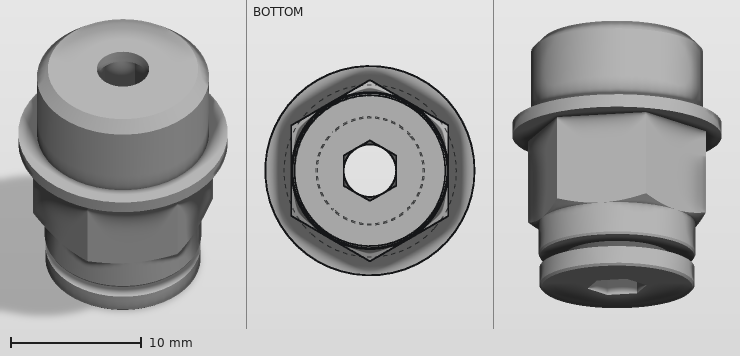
import cadquery as cq
import math

total_height = 19.5
ring_top = 1.5
collar_bottom = 2.48
hex_bottom = 5.0
flange_bottom = 12.0
flange_thickness = 1.0
flange_top = flange_bottom + flange_thickness

ring_diameter = 11.88
neck_diameter = 8.1
hex_across_flats = 12.0
collar_diameter = hex_across_flats
flange_diameter = 16.0
barrel_diameter = 13.16
bore_diameter = 4.0
socket_across_flats = bore_diameter

ring_chamfer = 0.18
collar_chamfer_height = 0.18
collar_chamfer_width = 0.1
neck_flare_height = 0.18
neck_flare_width = 0.1
barrel_chamfer = 0.84
hex_chamfer_angle = 30
bore_depth = 1.0


def cylinder(diameter, bottom, top):
    return cq.Workplane("XY").workplane(offset=bottom).circle(diameter / 2).extrude(top - bottom)


def hexagonal_prism(across_flats, bottom, top):
    """Hexagonal prism with flats facing +X and -X and corners on the Y axis."""
    across_corners = across_flats / math.cos(math.radians(30))
    prism = cq.Workplane("XY").polygon(6, across_corners).extrude(top - bottom)
    return prism.rotate((0, 0, 0), (0, 0, 1), 30).translate((0, 0, bottom))


def chamfered_hex():
    """Wrench hexagon whose lower corners are cut by a cone starting at the collar."""
    collar_radius = collar_diameter / 2
    height = flange_bottom - hex_bottom
    outer_radius = collar_radius + height / math.tan(math.radians(hex_chamfer_angle))
    cone = (
        cq.Workplane("XZ")
        .moveTo(0, hex_bottom)
        .lineTo(collar_radius, hex_bottom)
        .lineTo(outer_radius, flange_bottom)
        .lineTo(0, flange_bottom)
        .close()
        .revolve(360, (0, 0, 0), (0, 1, 0))
    )
    return hexagonal_prism(hex_across_flats, hex_bottom, flange_bottom).intersect(cone)


def neck():
    """Sleeve between ring and collar, flared slightly where it meets the ring."""
    radius = neck_diameter / 2
    return (
        cq.Workplane("XZ")
        .moveTo(0, ring_top)
        .lineTo(radius + neck_flare_width, ring_top)
        .lineTo(radius, ring_top + neck_flare_height)
        .lineTo(radius, collar_bottom)
        .lineTo(0, collar_bottom)
        .close()
        .revolve(360, (0, 0, 0), (0, 1, 0))
    )


def chamfered_collar():
    """Round collar with a steep chamfer around its lower edge."""
    radius = collar_diameter / 2
    return (
        cq.Workplane("XZ")
        .moveTo(0, collar_bottom)
        .lineTo(radius - collar_chamfer_width, collar_bottom)
        .lineTo(radius, collar_bottom + collar_chamfer_height)
        .lineTo(radius, hex_bottom)
        .lineTo(0, hex_bottom)
        .close()
        .revolve(360, (0, 0, 0), (0, 1, 0))
    )


release_ring = cylinder(ring_diameter, 0, ring_top).faces("<Z").edges().chamfer(ring_chamfer)
collar = chamfered_collar()
flange = cylinder(flange_diameter, flange_bottom, flange_top)
barrel = cylinder(barrel_diameter, flange_top, total_height).faces(">Z").edges().chamfer(barrel_chamfer)
body = release_ring.union(neck()).union(collar).union(chamfered_hex()).union(flange).union(barrel)

socket_top = total_height - bore_depth
bore = cylinder(bore_diameter, socket_top, total_height)
socket = hexagonal_prism(socket_across_flats, 0, socket_top)

result = body.cut(bore).cut(socket)